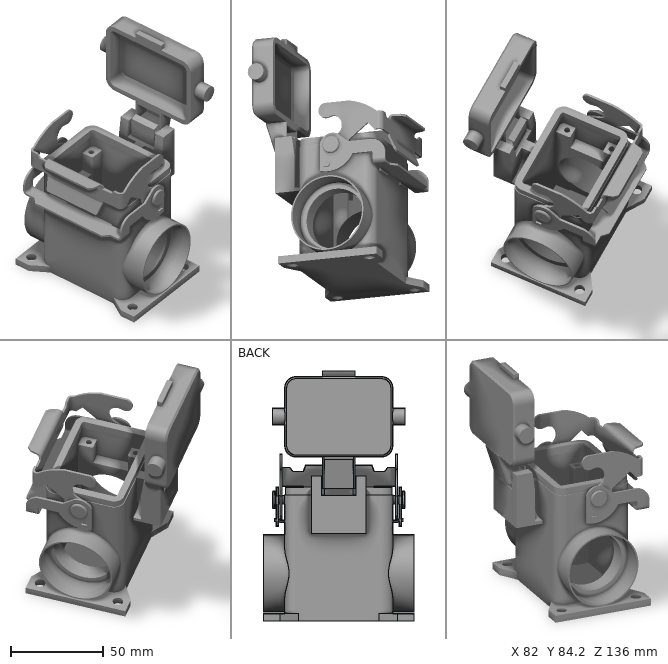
import cadquery as cq

EPS = 0.1

BODY_X = 58.8
BODY_Y = 44.6
BODY_R = 6.1
SHOULDER_Z = 68.7
RIM_INSET = 0.4
BODY_TOP = 72.8
CAVITY_X = 49.6
CAVITY_Y = 36.2
CAVITY_R = 1.5
FLOOR_Z = 4.1
LIP_Z = 68.1
UNDERCUT = 0.4
UNDERCUT_R = 2.6

PILLAR_X = 6.5
PILLAR_Y = 8.2
PILLAR_R = 1.1
PILLAR_TOP = 61.2
PILLAR_HOLE_D = 3.3
PILLAR_HOLE_DEPTH = 10.9
PILLAR_HOLE_X = 21.9
PILLAR_HOLE_Y = 13.5
LEDGE_INNER_X = 18.9
LEDGE_TOP = 49.4

LENGTH_X = 82.0
ENTRY_D = 42.0
ENTRY_WALL = 0.8
ENTRY_Z = 26.0
BORE_D = 33.6
STEP_X = 28.0

FLANGE_Y = 57.1
FLANGE_T = 4.1
FLANGE_TIP_X = 31.8
FLANGE_ROOT_X = 21.8
FLANGE_HOLE_D = 5.7
FLANGE_HOLE_X = 35.1
FLANGE_HOLE_Y = 22.3

LID_X = BODY_X
LID_BOTTOM = 89.2
LID_TOP = 132.9
LID_FRONT_Y = 35.8
LID_BACK_Y = 48.3
LID_EDGE = 1.1
LID_WALL = 3.0
LID_POCKET_R = 3.1
LID_BACK_T = 2.6
POCKET_CHAMFER = 1.2
TAB_X = 17.7
TAB_T = 3.1
TOP_Z = 136.0
LID_PIN_D = 9.1
LID_PIN_Y = 43.4
LID_PIN_Z = 111.2
PIN_SPAN = 72.1

ARM_WALL = 1.1
ARM_RECESS_TOP = 87.7
ARM_FLOOR_Z = 77.5
ARM_END_Z = 72.0
ARM_BACK_TOP_Y = 48.0
ARM_BACK_LOW_Y = 42.5
ARM_RECESS_LOW_Y = 43.5
ARM_EDGE = 0.8
CLIP_BACK_Y = 31.7
CLIP_T = 0.7
CLIP_TOP = 81.5
CLIP_DROP = 1.2
CLIP_TIP_Y = 34.5
BRACKET_X = 29.6
NOTCH_X = 18.5
BRACKET_BACK_Y = 40.0
BRACKET_FRONT_Y = 28.8
BRACKET_TOP_FRONT_Y = 30.3
BRACKET_TOP = 78.9
BRACKET_BOTTOM = 47.7
BRACKET_SLOPE_Z = 68.4
FOOT_FRONT_Y = 24.3
FOOT_TOP = 49.6
STEM_X = 5.7
STEM_TOP = 68.3
GUSSET_R = 8.0

PIVOT_Z = 66.0
PIVOT_D = 4.8
HEAD_D = 9.5
HEAD_T = 1.4
HEAD_CHAMFER = 0.4

SHEET = 1.2
LATCH_X = 63.9
LATCH_FRONT_Y = -28.4
LATCH_BEND_R = 2.7
LATCH_DEPTH = 40.8
HOOK_TOP = 90.7
HOOK_TOP_Y = 5.2
HOOK_FLAT_END_Y = -9.2
PLATE_BEND_Y = -25.2
PLATE_TOP = 83.5
PLATE_DIP = 81.3
PLATE_BOTTOM = 73.2
DIP_TOP_X = 26.7
DIP_FLOOR_X = 24.9
HANDLE_TIP_Y = -35.9
HANDLE_TOP = 84.7
HANDLE_BEND_R = 2.5
HANDLE_NECK_X = 38.6
HANDLE_ROOT_X = 36.2
HANDLE_TIP_X = 29.6
HANDLE_CORNER = 2.2
APRON_BEND_Z = 71.7
APRON_TIP_Y = -31.7
APRON_TIP_Z = 63.9
APRON_LOW_X = 34.8
APRON_CORNER = 1.2
LEVER_X = 68.0
LEVER_BEND_R = 2.5
LEVER_BOTTOM = 53.7
LEVER_BEND_TOP = 56.5
LEVER_BACK_Y = -23.8
LEVER_FRONT_Y = -30.9
LEVER_ARM_TOP = 67.2
LEVER_ARM_BOTTOM = 60.1
PIP_LENGTH = 3.1
PIP_HEIGHT = 1.6
PIP_RISE = 1.0
PIP_BACK_Y = 4.4
PIP_BOTTOM = 54.1
BAR_FRONT_Y = -34.3
BAR_FRONT_X = 23.0
BAR_CORNER_X = 26.4
BAR_BACK_Y = -24.6
LIP_INNER_X = 9.7
LIP_OUTER_X = 21.4
LIP_T = 0.7
LIP_BACK_Y = -23.0
LIP_BOTTOM = 52.6
BAR_SLOT_X = 23.4


def box(x0, x1, y0, y1, z0, z1):
    """Box between two opposite corners."""
    return cq.Workplane("XY").box(x1 - x0, y1 - y0, z1 - z0, centered=False).translate((x0, y0, z0))


def rounded_block(size_x, size_y, z0, z1, radius):
    """Upright block centred on the Z axis with rounded vertical edges."""
    block = cq.Workplane("XY", origin=(0, 0, z0)).rect(size_x, size_y).extrude(z1 - z0)
    return block.edges("|Z").fillet(radius)


def rod(diameter, y, z, x0, x1):
    """Round bar along X."""
    return cq.Workplane("YZ", origin=(x0, y, z)).circle(diameter / 2).extrude(x1 - x0)


def both_sides(right):
    """A shape together with its mirror image across X = 0."""
    return right.union(right.mirror("YZ"))


def across_x(profile, width):
    """Extrude a YZ profile symmetrically about X = 0."""
    return profile.extrude(width / 2, both=True)


def make_flange():
    outer_x = LENGTH_X / 2
    outer_y = FLANGE_Y / 2
    root_y = BODY_Y / 2
    quarter = [
        (0, 0),
        (outer_x, 0),
        (outer_x, outer_y),
        (FLANGE_TIP_X, outer_y),
        (FLANGE_ROOT_X, root_y),
        (0, root_y),
    ]
    plate = cq.Workplane("XY").polyline(quarter).close().extrude(FLANGE_T)
    hole_spot = cq.Workplane("XY").center(FLANGE_HOLE_X, FLANGE_HOLE_Y)
    corner = plate.cut(hole_spot.circle(FLANGE_HOLE_D / 2).extrude(FLANGE_T))
    half = corner.union(corner.mirror("XZ"))
    return both_sides(half)


def make_housing():
    body = rounded_block(BODY_X, BODY_Y, 0, SHOULDER_Z, BODY_R)
    rim_x = BODY_X - 2 * RIM_INSET
    rim_y = BODY_Y - 2 * RIM_INSET
    body = body.union(rounded_block(rim_x, rim_y, SHOULDER_Z, BODY_TOP, BODY_R - RIM_INSET))
    body = body.union(rod(ENTRY_D, 0, ENTRY_Z, -LENGTH_X / 2, LENGTH_X / 2))
    body = body.union(make_flange())

    mouth = rounded_block(CAVITY_X, CAVITY_Y, FLOOR_Z, BODY_TOP + EPS, CAVITY_R)
    chamber_x = CAVITY_X + 2 * UNDERCUT
    chamber_y = CAVITY_Y + 2 * UNDERCUT
    cavity = mouth.union(rounded_block(chamber_x, chamber_y, FLOOR_Z, LIP_Z, UNDERCUT_R))
    body = body.cut(cavity.cut(make_cavity_ribs()))

    body = body.cut(rod(BORE_D, 0, ENTRY_Z, -LENGTH_X / 2, LENGTH_X / 2))
    socket = rod(ENTRY_D - 2 * ENTRY_WALL, 0, ENTRY_Z, STEP_X, LENGTH_X / 2)
    return body.cut(both_sides(socket))


def make_cavity_ribs():
    """Thick side walls around the entries and the four screw pillars."""
    wall_x = CAVITY_X / 2 + UNDERCUT
    wall_y = CAVITY_Y / 2 + UNDERCUT
    pillar_x = CAVITY_X / 2 - PILLAR_X
    pillar_y = CAVITY_Y / 2 - PILLAR_Y
    side = box(LEDGE_INNER_X, wall_x, -wall_y, wall_y, FLOOR_Z, LEDGE_TOP)
    pillar = box(pillar_x, wall_x, pillar_y, wall_y, FLOOR_Z, PILLAR_TOP)
    pillar = pillar.edges("|Z and <X and <Y").fillet(PILLAR_R)
    side = side.union(pillar).union(pillar.mirror("XZ"))
    hole_floor = cq.Workplane("XY", origin=(0, 0, PILLAR_TOP - PILLAR_HOLE_DEPTH))
    holes = hole_floor.pushPoints([(PILLAR_HOLE_X, PILLAR_HOLE_Y), (PILLAR_HOLE_X, -PILLAR_HOLE_Y)])
    side = side.cut(holes.circle(PILLAR_HOLE_D / 2).extrude(PILLAR_HOLE_DEPTH))
    return both_sides(side)


def make_lid():
    height = LID_TOP - LID_BOTTOM
    mid_z = (LID_TOP + LID_BOTTOM) / 2
    depth = LID_BACK_Y - LID_FRONT_Y
    front = cq.Workplane("XZ", origin=(0, LID_FRONT_Y, mid_z))
    lid = front.rect(LID_X, height).extrude(-depth).edges("|Y").fillet(BODY_R)
    lid = lid.faces(">Y").edges().chamfer(LID_EDGE)
    pocket = front.rect(LID_X - 2 * LID_WALL, height - 2 * LID_WALL).extrude(-(depth - LID_BACK_T))
    pocket = pocket.edges("|Y").fillet(LID_POCKET_R).faces(">Y").edges().chamfer(POCKET_CHAMFER)
    lid = lid.cut(pocket)
    lid = lid.union(box(-TAB_X / 2, TAB_X / 2, LID_FRONT_Y, LID_FRONT_Y + TAB_T, LID_TOP - EPS, TOP_Z))
    pin = rod(LID_PIN_D, LID_PIN_Y, LID_PIN_Z, LID_X / 2 - EPS, PIN_SPAN / 2)
    return lid.union(both_sides(pin))


def make_hinge_arm():
    """Arm that hangs from the lid, hollowed on the side towards the housing."""
    outline = [
        (LID_FRONT_Y, LID_BOTTOM + EPS),
        (ARM_BACK_TOP_Y, LID_BOTTOM + EPS),
        (ARM_BACK_LOW_Y, ARM_END_Z),
        (CLIP_BACK_Y, ARM_END_Z),
        (CLIP_BACK_Y, ARM_FLOOR_Z),
        (LID_FRONT_Y, ARM_FLOOR_Z),
    ]
    arm = across_x(cq.Workplane("YZ").polyline(outline).close(), TAB_X)
    back_middle = (0, (ARM_BACK_TOP_Y + ARM_BACK_LOW_Y) / 2, (LID_BOTTOM + ARM_END_Z) / 2)
    back = arm.faces(cq.selectors.NearestToPointSelector(back_middle))
    arm = back.edges("not |X").chamfer(ARM_EDGE)
    recess = [
        (LID_FRONT_Y - EPS, ARM_RECESS_TOP),
        (ARM_BACK_TOP_Y - ARM_WALL, ARM_RECESS_TOP),
        (ARM_RECESS_LOW_Y, ARM_FLOOR_Z),
        (LID_FRONT_Y - EPS, ARM_FLOOR_Z),
    ]
    return arm.cut(across_x(cq.Workplane("YZ").polyline(recess).close(), TAB_X - 2 * ARM_WALL))


def make_clip():
    """Thin plate closing the bracket notch, curled back over the arm at its top."""
    outline = [
        (CLIP_BACK_Y - CLIP_T, BRACKET_SLOPE_Z - EPS),
        (CLIP_BACK_Y - CLIP_T, CLIP_TOP - CLIP_DROP),
        (CLIP_TIP_Y, CLIP_TOP),
        (CLIP_TIP_Y, CLIP_TOP - CLIP_T),
        (CLIP_BACK_Y + EPS, CLIP_TOP - CLIP_T - CLIP_DROP),
        (CLIP_BACK_Y + EPS, BRACKET_SLOPE_Z - EPS),
    ]
    return across_x(cq.Workplane("YZ").polyline(outline).close(), TAB_X - 2 * ARM_WALL)


def make_hinge_bracket():
    side_outline = [
        (BRACKET_BACK_Y, BRACKET_BOTTOM),
        (BRACKET_BACK_Y, BRACKET_TOP),
        (BRACKET_TOP_FRONT_Y, BRACKET_TOP),
        (BRACKET_FRONT_Y, BRACKET_SLOPE_Z),
        (BRACKET_FRONT_Y, BRACKET_BOTTOM),
    ]
    bracket = across_x(cq.Workplane("YZ").polyline(side_outline).close(), BRACKET_X)
    notch = box(-NOTCH_X / 2, NOTCH_X / 2, 0, LID_BACK_Y, BRACKET_SLOPE_Z, TOP_Z)
    bracket = bracket.cut(notch)

    half_x = BRACKET_X / 2
    stem_x = STEM_X / 2
    foot = (
        cq.Workplane("XZ", origin=(0, FOOT_FRONT_Y, 0))
        .moveTo(0, BRACKET_BOTTOM)
        .lineTo(half_x, BRACKET_BOTTOM)
        .lineTo(half_x, FOOT_TOP)
        .lineTo(stem_x + GUSSET_R, FOOT_TOP)
        .radiusArc((stem_x, FOOT_TOP + GUSSET_R), GUSSET_R)
        .lineTo(0, FOOT_TOP + GUSSET_R)
        .close()
        .extrude(FOOT_FRONT_Y - BRACKET_FRONT_Y)
    )
    stem = box(-stem_x, stem_x, BODY_Y / 2 - EPS, BRACKET_FRONT_Y, FOOT_TOP, STEM_TOP)
    return bracket.union(both_sides(foot)).union(stem)


def make_pivots():
    tip_x = PIN_SPAN / 2
    shaft = rod(PIVOT_D, 0, PIVOT_Z, BODY_X / 2 - EPS, tip_x)
    head = rod(HEAD_D, 0, PIVOT_Z, tip_x - HEAD_T, tip_x).faces(">X").edges().chamfer(HEAD_CHAMFER)
    return both_sides(shaft.union(head))


def make_latch():
    """Upper latch: two hooked side plates joined by a bent front plate."""
    side = across_x(
        cq.Workplane("YZ")
        .moveTo(HOOK_TOP_Y, HOOK_TOP)
        .lineTo(HOOK_FLAT_END_Y, HOOK_TOP)
        .threePointArc((-17.4, 88.3), (PLATE_BEND_Y, PLATE_TOP))
        .lineTo(LATCH_FRONT_Y, PLATE_TOP)
        .lineTo(LATCH_FRONT_Y, PLATE_BOTTOM)
        .lineTo(-23.8, PLATE_BOTTOM)
        .lineTo(-20.0, 77.2)
        .lineTo(-9.2, 68.8)
        .threePointArc((-6.1, 59.2), (1.4, 55.5))
        .lineTo(5.5, 57.1)
        .lineTo(5.5, 68.0)
        .lineTo(-2.9, 72.8)
        .threePointArc((-5.0, 78.0), (0.0, 83.2))
        .lineTo(2.7, 82.5)
        .threePointArc((8.5, 86.1), (HOOK_TOP_Y, HOOK_TOP))
        .close(),
        LATCH_X,
    )
    strip = box(-LATCH_X / 2, LATCH_X / 2, LATCH_FRONT_Y, LATCH_FRONT_Y + LATCH_DEPTH, 0, TOP_Z)
    strip = strip.edges("|Z and <Y").fillet(LATCH_BEND_R)
    inner_x = LATCH_X / 2 - SHEET
    inner_y = LATCH_FRONT_Y + SHEET
    inside = box(-inner_x, inner_x, inner_y, inner_y + LATCH_DEPTH, 0, TOP_Z)
    inside = inside.edges("|Z and <Y").fillet(LATCH_BEND_R - SHEET)
    latch = side.intersect(strip.cut(inside))

    dip = cq.Workplane("XZ", origin=(0, inner_y + EPS, 0))
    dip = dip.polyline(
        [
            (-DIP_TOP_X, PLATE_TOP + EPS),
            (-DIP_FLOOR_X, PLATE_DIP),
            (DIP_FLOOR_X, PLATE_DIP),
            (DIP_TOP_X, PLATE_TOP + EPS),
        ]
    ).close()
    latch = latch.cut(dip.extrude(SHEET + 2 * EPS))
    return latch.union(make_handle()).union(make_apron())


def symmetric_outline(plane, right):
    """Closed outline from its right-hand points and their mirror images."""
    left = [(-x, other) for x, other in reversed(right)]
    return cq.Workplane(plane).polyline(right + left).close()


def make_handle():
    """Grip that bends forward from the top of the front plate."""
    inner_y = LATCH_FRONT_Y + SHEET
    bend_y = inner_y - HANDLE_BEND_R
    bend_z = HANDLE_TOP - HANDLE_BEND_R
    hollow_r = HANDLE_BEND_R - SHEET
    plate_z = PLATE_DIP - SHEET
    sheet = across_x(
        cq.Workplane("YZ")
        .moveTo(inner_y, plate_z)
        .lineTo(inner_y, bend_z)
        .radiusArc((bend_y, HANDLE_TOP), -HANDLE_BEND_R)
        .lineTo(HANDLE_TIP_Y, HANDLE_TOP)
        .lineTo(HANDLE_TIP_Y, HANDLE_TOP - SHEET)
        .lineTo(bend_y, HANDLE_TOP - SHEET)
        .radiusArc((LATCH_FRONT_Y, bend_z), hollow_r)
        .lineTo(LATCH_FRONT_Y, plate_z)
        .close(),
        HANDLE_NECK_X,
    )
    tip_x = HANDLE_TIP_X / 2
    root_x = HANDLE_ROOT_X / 2
    neck_x = HANDLE_NECK_X / 2
    plan = [
        (neck_x, inner_y),
        (root_x, bend_y),
        (tip_x + HANDLE_CORNER, HANDLE_TIP_Y + HANDLE_CORNER),
        (tip_x, HANDLE_TIP_Y),
    ]
    front = [(neck_x, plate_z), (neck_x, PLATE_DIP), (root_x, HANDLE_TOP)]
    sheet = sheet.intersect(symmetric_outline("XY", plan).extrude(TOP_Z))
    return sheet.intersect(symmetric_outline("XZ", front).extrude(LATCH_DEPTH))


def make_apron():
    """Finger tab that slopes forward below the front plate."""
    inner_y = LATCH_FRONT_Y + SHEET
    slope = [
        (inner_y, PLATE_BOTTOM + SHEET),
        (inner_y, APRON_BEND_Z),
        (APRON_TIP_Y + SHEET, APRON_TIP_Z),
        (APRON_TIP_Y, APRON_TIP_Z + SHEET / 2),
        (LATCH_FRONT_Y, APRON_BEND_Z),
        (LATCH_FRONT_Y, PLATE_BOTTOM + SHEET),
    ]
    sheet = across_x(cq.Workplane("YZ").polyline(slope).close(), HANDLE_NECK_X)
    face = [
        (HANDLE_NECK_X / 2, PLATE_BOTTOM + SHEET),
        (HANDLE_NECK_X / 2, APRON_BEND_Z + SHEET),
        (APRON_LOW_X / 2, APRON_TIP_Z + APRON_CORNER),
        (APRON_LOW_X / 2 - APRON_CORNER, APRON_TIP_Z),
    ]
    return sheet.intersect(symmetric_outline("XZ", face).extrude(LATCH_DEPTH))


def make_lever():
    """Lower lever: two side plates joined by a bar across the front."""
    outer_x = LEVER_X / 2
    plate = (
        cq.Workplane("YZ", origin=(outer_x - SHEET, 0, 0))
        .moveTo(6.7, 68.0)
        .threePointArc((2.7, 72.2), (-3.1, 72.2))
        .lineTo(-9.7, LEVER_ARM_TOP)
        .lineTo(-23.1, LEVER_ARM_TOP)
        .threePointArc((-28.3, 65.0), (LEVER_FRONT_Y, LEVER_ARM_BOTTOM))
        .lineTo(LEVER_FRONT_Y, LEVER_BEND_TOP)
        .lineTo(LEVER_BACK_Y, LEVER_BEND_TOP)
        .lineTo(LEVER_BACK_Y, 59.3)
        .lineTo(-23.3, LEVER_ARM_BOTTOM)
        .lineTo(-12.1, LEVER_ARM_BOTTOM)
        .threePointArc((-4.1, 52.6), (6.7, 52.0))
        .close()
        .extrude(SHEET)
    )
    pip_x = outer_x + PIP_RISE
    pip = box(outer_x - EPS, pip_x, PIP_BACK_Y - PIP_LENGTH, PIP_BACK_Y, PIP_BOTTOM, PIP_BOTTOM + PIP_HEIGHT)
    sides = both_sides(plate.union(pip))

    bend = box(-outer_x, outer_x, LEVER_FRONT_Y, LEVER_BACK_Y, LEVER_BOTTOM, LEVER_BEND_TOP)
    bend = bend.edges("|Y and <Z").fillet(LEVER_BEND_R)
    inner_x = outer_x - SHEET
    hollow = box(-inner_x, inner_x, LEVER_FRONT_Y, LEVER_BACK_Y, LEVER_BOTTOM + SHEET, TOP_Z)
    hollow = hollow.edges("|Y and <Z").fillet(LEVER_BEND_R - SHEET)
    bend = bend.cut(hollow)

    bend_x = outer_x - LEVER_BEND_R
    lip_front_y = LIP_BACK_Y - LIP_T
    outline = [
        (0, BAR_BACK_Y),
        (LIP_INNER_X, BAR_BACK_Y),
        (LIP_INNER_X, lip_front_y),
        (LIP_OUTER_X, lip_front_y),
        (LIP_OUTER_X, BAR_BACK_Y),
        (BAR_SLOT_X, BAR_BACK_Y),
        (BAR_SLOT_X, LEVER_BACK_Y),
        (bend_x, LEVER_BACK_Y),
        (bend_x, LEVER_FRONT_Y),
        (BAR_CORNER_X, LEVER_FRONT_Y),
        (BAR_FRONT_X, BAR_FRONT_Y),
        (0, BAR_FRONT_Y),
    ]
    bar = cq.Workplane("XY", origin=(0, 0, LEVER_BOTTOM)).polyline(outline).close().extrude(SHEET)
    lip = box(LIP_INNER_X, LIP_OUTER_X, lip_front_y, LIP_BACK_Y, LIP_BOTTOM, LEVER_BOTTOM + SHEET)
    return sides.union(bend).union(both_sides(bar.union(lip)))


result = (
    make_housing()
    .union(make_hinge_bracket())
    .union(make_hinge_arm())
    .union(make_clip())
    .union(make_lid())
    .union(make_pivots())
    .union(make_latch())
    .union(make_lever())
)